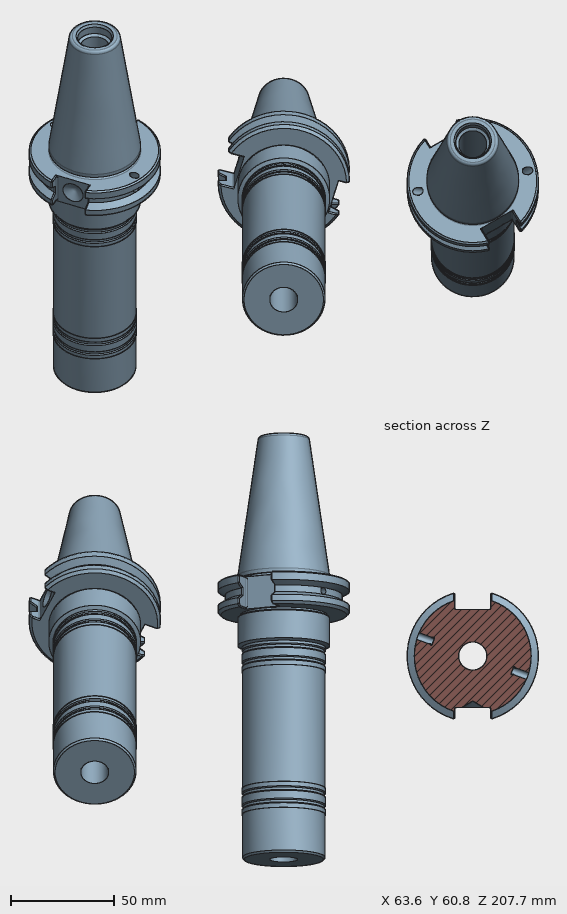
import cadquery as cq
import math


gauge_dia = 44.45
taper_length = 68.4
taper_ratio = 7 / 24
taper_tip_fillet = 1.6
gauge_land = 1.9

flange_dia = 63.55
flange_top = -3.2
flange_bottom = -19.1
flange_top_chamfer = 0.9
flange_top_chamfer_height = 0.6
flange_bottom_chamfer = 1.4
v_groove_floor_dia = 56.6
v_groove_center = -11.1
v_groove_floor_width = 3.3
v_groove_flank_angle = 30

neck_dia = 42.0
lower_neck_bottom = -20.1

slot_width = 17.3
slot_edge_chamfer = 0.6
slot_corner_fillet = 0.6
front_slot_floor_y = -25.0
back_slot_floor_y = 22.5
dimple_dia = 10.7
dimple_tip_angle = 118

collar_top_chamfer = 0.6
collar_bottom = -34.3
collar_cone_height = 0.9
nose_dia = 40.0
nose_bottom = -139.25
nose_end_chamfer = 0.8
nose_end_chamfer_height = 1.0

band_dia = 40.5
narrow_band = 2.2
wide_band = 3.8
band_gap = 2.3
gap_floor_dia = 39.5
gap_flank = 0.55
band_set_length = 2 * narrow_band + wide_band + 2 * band_gap
band_set_tops = (-34.3, -104.5)

bore_dia = 13.53
counterbore_dia = 16.5
counterbore_depth = 5.3
counterbore_tip_angle = 120
mouth_dia = 18.0
mouth_angle = 60

coolant_dia = 3.9
coolant_circle_radius = 27.0
coolant_tilt = 40
coolant_directions = (160, 340)
port_dia = 3.24


def cone_height(large_dia, small_dia, included_angle):
    """Axial length of a cone between two diameters."""
    return (large_dia - small_dia) / 2 / math.tan(math.radians(included_angle / 2))


def revolve_about_z(outline):
    """Solid of revolution from a (radius, height) outline in the XZ plane."""
    return outline.close().revolve(360, (0, 0), (0, 1))


def make_taper():
    gauge_radius = gauge_dia / 2
    tip_radius = gauge_radius - taper_length * taper_ratio / 2
    neck_radius = neck_dia / 2
    neck_fillet = -gauge_land - flange_top
    cone = revolve_about_z(
        cq.Workplane("XZ")
        .moveTo(0, taper_length)
        .lineTo(tip_radius, taper_length)
        .lineTo(gauge_radius, 0)
        .lineTo(gauge_radius, -gauge_land)
        .lineTo(0, -gauge_land)
    ).faces(">Z").edges().fillet(taper_tip_fillet)
    neck = revolve_about_z(
        cq.Workplane("XZ")
        .moveTo(0, -gauge_land)
        .lineTo(neck_radius, -gauge_land)
        .radiusArc((neck_radius + neck_fillet, flange_top), -neck_fillet)
        .lineTo(0, flange_top)
    )
    return cone.union(neck)


def cut_slot(flange, floor_y):
    """Cut one drive slot from floor_y outward, break its wall edges and round its floor corners."""
    reach = math.copysign(flange_dia, floor_y)
    slot = (
        cq.Workplane("XY")
        .workplane(offset=flange_bottom)
        .center(0, floor_y + reach / 2)
        .rect(slot_width, flange_dia)
        .extrude(flange_top - flange_bottom)
    )
    half_width = slot_width / 2
    tolerance = 0.01

    def on_wall(edge):
        center = edge.Center()
        lies_in_plane = edge.BoundingBox().xlen < tolerance
        same_side = center.y * floor_y > 0
        return lies_in_plane and same_side and abs(abs(center.x) - half_width) < tolerance

    def at_floor(edge):
        return abs(edge.Center().y - floor_y) < tolerance

    flange = flange.cut(slot)
    wall_edges = [e for e in flange.edges().vals() if on_wall(e) and not at_floor(e)]
    flange = flange.newObject(wall_edges).chamfer(slot_edge_chamfer)
    corner_edges = [e for e in flange.edges("|Z").vals() if on_wall(e) and at_floor(e)]
    return flange.newObject(corner_edges).fillet(slot_corner_fillet)


def make_flange():
    radius = flange_dia / 2
    floor_radius = v_groove_floor_dia / 2
    floor_half = v_groove_floor_width / 2
    flank_height = (radius - floor_radius) * math.tan(math.radians(v_groove_flank_angle))
    mouth_half = floor_half + flank_height
    flange = revolve_about_z(
        cq.Workplane("XZ").polyline([
            (0, flange_top),
            (radius - flange_top_chamfer, flange_top),
            (radius, flange_top - flange_top_chamfer_height),
            (radius, v_groove_center + mouth_half),
            (floor_radius, v_groove_center + floor_half),
            (floor_radius, v_groove_center - floor_half),
            (radius, v_groove_center - mouth_half),
            (radius, flange_bottom + flange_bottom_chamfer),
            (radius - flange_bottom_chamfer, flange_bottom),
            (0, flange_bottom),
        ])
    )
    for floor_y in (front_slot_floor_y, back_slot_floor_y):
        flange = cut_slot(flange, floor_y)
    return flange


def make_body():
    collar_radius = gauge_dia / 2
    nose_radius = nose_dia / 2
    return revolve_about_z(
        cq.Workplane("XZ").polyline([
            (0, flange_bottom),
            (neck_dia / 2, flange_bottom),
            (neck_dia / 2, lower_neck_bottom),
            (collar_radius - collar_top_chamfer, lower_neck_bottom),
            (collar_radius, lower_neck_bottom - collar_top_chamfer),
            (collar_radius, collar_bottom),
            (band_dia / 2, collar_bottom - collar_cone_height),
            (nose_radius, collar_bottom - collar_cone_height),
            (nose_radius, nose_bottom + nose_end_chamfer_height),
            (nose_radius - nose_end_chamfer, nose_bottom),
            (0, nose_bottom),
        ])
    )


def make_gap_ring(top):
    """Ring with a trapezoid section that separates two neighbouring bands."""
    return revolve_about_z(
        cq.Workplane("XZ").polyline([
            (band_dia / 2, top),
            (gap_floor_dia / 2, top - gap_flank),
            (gap_floor_dia / 2, top - band_gap + gap_flank),
            (band_dia / 2, top - band_gap),
        ])
    )


def add_band_set(body, top):
    sleeve = cq.Workplane("XY").workplane(offset=top).circle(band_dia / 2).extrude(-band_set_length)
    first_gap_top = top - narrow_band
    second_gap_top = first_gap_top - band_gap - wide_band
    body = body.union(sleeve)
    return body.cut(make_gap_ring(first_gap_top)).cut(make_gap_ring(second_gap_top))


def make_dimple():
    depth = cone_height(dimple_dia, 0, dimple_tip_angle)
    base_center = cq.Vector(0, front_slot_floor_y, v_groove_center)
    return cq.Workplane(cq.Solid.makeCone(dimple_dia / 2, 0, depth, base_center, cq.Vector(0, 1, 0)))


def make_bore():
    mouth_bottom = taper_length - cone_height(mouth_dia, counterbore_dia, mouth_angle)
    counterbore_bottom = taper_length - counterbore_depth
    tip_bottom = counterbore_bottom - cone_height(counterbore_dia, bore_dia, counterbore_tip_angle)
    return revolve_about_z(
        cq.Workplane("XZ").polyline([
            (0, taper_length),
            (mouth_dia / 2, taper_length),
            (counterbore_dia / 2, mouth_bottom),
            (counterbore_dia / 2, counterbore_bottom),
            (bore_dia / 2, tip_bottom),
            (bore_dia / 2, nose_bottom),
            (0, nose_bottom),
        ])
    )


def make_coolant_passage(direction):
    """Sloping hole and the radial port it meets, built along +X and turned about Z."""
    tilt = math.radians(coolant_tilt)
    drop = flange_top - v_groove_center
    meeting_radius = coolant_circle_radius - drop * math.tan(tilt)
    meeting_point = cq.Vector(meeting_radius, 0, v_groove_center)
    upward = cq.Vector(math.sin(tilt), 0, math.cos(tilt))
    slope_length = drop / math.cos(tilt) + coolant_dia
    sloping_hole = cq.Solid.makeCylinder(coolant_dia / 2, slope_length, meeting_point, upward)
    port_length = flange_dia / 2 - meeting_radius
    port = cq.Solid.makeCylinder(port_dia / 2, port_length, meeting_point, cq.Vector(1, 0, 0))
    return cq.Workplane(sloping_hole).union(cq.Workplane(port)).rotate((0, 0, 0), (0, 0, 1), direction)


body = make_body()
for band_set_top in band_set_tops:
    body = add_band_set(body, band_set_top)

result = make_taper().union(make_flange()).union(body)
result = result.cut(make_dimple()).cut(make_bore())
for coolant_direction in coolant_directions:
    result = result.cut(make_coolant_passage(coolant_direction))